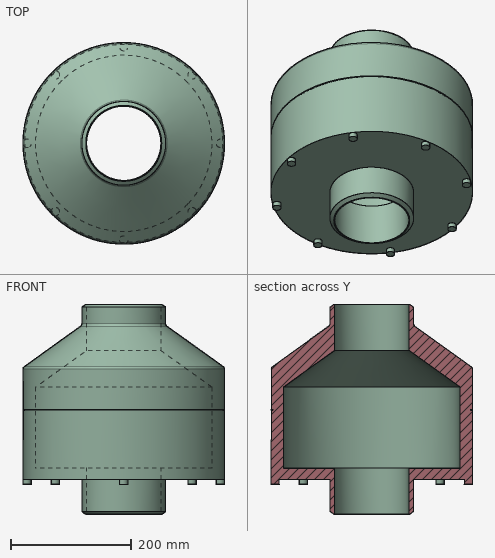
import cadquery as cq

height = 350.0
body_radius = 168.0
body_bottom = 58.0
shoulder_height = 244.5
shoulder_fillet = 5.0

pipe_radius = 139.5 / 2
bore_radius = 123.5 / 2
rim_radius = 63.5
bevel_height = 4.5
neck_base = 315.0
neck_fillet = 5.5

groove_radius = 330.0 / 2
groove_bottom = 173.5
groove_height = 1.0

chamber_radius = 147.0
chamber_bottom = 77.0
bore_mouth = 273.0

pin_count = 8
pin_diameter = 14.0
pin_length = 8.0
pin_circle_radius = body_radius - pin_diameter / 2


def revolve_profile(points):
    """Revolve a closed (radius, height) outline around the Z axis."""
    outline = cq.Workplane("XZ").polyline(points).close()
    return outline.revolve(360, (0, 0, 0), (0, 1, 0))


def circle_edge(body, radius, z):
    """Select the circular edge of the given radius centred on the axis at z."""
    margin = 0.05
    reach = radius + margin
    low_corner = (-reach, -reach, z - margin)
    high_corner = (reach, reach, z + margin)
    return body.edges(cq.selectors.BoxSelector(low_corner, high_corner, boundingbox=True))


def make_outer_body():
    body = revolve_profile([
        (0, 0),
        (rim_radius, 0),
        (pipe_radius, bevel_height),
        (pipe_radius, body_bottom),
        (body_radius, body_bottom),
        (body_radius, shoulder_height),
        (pipe_radius, neck_base),
        (pipe_radius, height - bevel_height),
        (rim_radius, height),
        (0, height),
    ])
    body = circle_edge(body, body_radius, shoulder_height).fillet(shoulder_fillet)
    return circle_edge(body, pipe_radius, neck_base).fillet(neck_fillet)


def make_cavity():
    cone_slope = (neck_base - shoulder_height) / (body_radius - pipe_radius)
    chamber_shoulder = bore_mouth - cone_slope * (chamber_radius - bore_radius)
    return revolve_profile([
        (0, 0),
        (bore_radius, 0),
        (bore_radius, chamber_bottom),
        (chamber_radius, chamber_bottom),
        (chamber_radius, chamber_shoulder),
        (bore_radius, bore_mouth),
        (bore_radius, height),
        (0, height),
    ])


def make_groove():
    ring = cq.Workplane("XY").workplane(offset=groove_bottom)
    return ring.circle(body_radius).circle(groove_radius).extrude(groove_height)


def make_pins():
    pins = cq.Workplane("XY").workplane(offset=body_bottom)
    pins = pins.polarArray(pin_circle_radius, 0, 360, pin_count)
    return pins.circle(pin_diameter / 2).extrude(-pin_length)


result = make_outer_body().cut(make_cavity()).cut(make_groove()).union(make_pins())